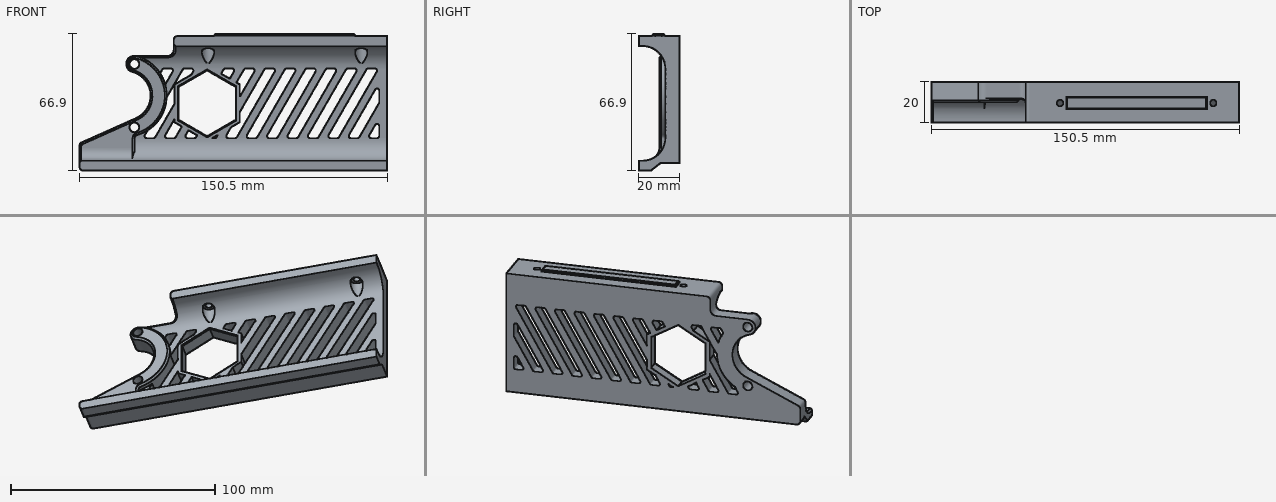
import cadquery as cq
import math

length = 150.5
depth = 20.0
flange_top = 65.9
lip = 5.0
edge_round = 2.0
edge_chamfer = 1.0
boss_bury = 1.5
pick_reach = 0.2

cavity_radius = 11.0
cavity_centre_y = 2.0
web_face_y = cavity_centre_y + cavity_radius
lower_arc_z = lip + cavity_radius
upper_arc_z = flange_top - lip - cavity_radius

foot_depth = 5.9
back_depth = 10.7
back_bottom = 3.8

cradle_x = 22.7
cradle_z = 36.7
cradle_inner = 12.0
cradle_outer = 20.0
cradle_mid = (cradle_inner + cradle_outer) / 2
cap_radius = (cradle_outer - cradle_inner) / 2
cradle_hole = 4.7
hole_angle = 75
boss_face_y = depth / 2
boss_right = 27.0
boss_corner_round = 2.0
boss_foot_radius = 5.5
tip_z = 13.4
flange_left = 46.0
step_round = 3.0

hex_x = 62.5
hex_z = flange_top / 2
hex_flats = 27.8
hex_wall = 2.1
hex_chamfer = 0.5

slot_angle = 60
slot_width = 5.5
slot_count = 13
slot_first = 26.8
slot_last = 146.6
slot_pitch = (slot_last - slot_first) / (slot_count - 1)
slot_round = 1.0
slot_limit_x = length - 3.9

key_x = 100.4
key_y = 9.6
key_length = 69.0
key_width = 6.2
key_height = 1.0
key_chamfer = 0.6
screw_spacing = 75.0
screw_hole = 3.2
screw_head = 6.0
screw_head_top = 61.0


def cradle_point(radius, angle):
    """Point in the XZ plane on a circle round the cradle centre."""
    a = math.radians(angle)
    return (cradle_x + radius * math.cos(a), cradle_z + radius * math.sin(a))


def extrude_y(sketch):
    """Extrude an XZ outline over the full depth."""
    return sketch.extrude(-depth)


def section_point(radius, angle, centre_y, centre_z):
    """Point on a circle in the YZ plane."""
    a = math.radians(angle)
    return (centre_y + radius * math.cos(a), centre_z + radius * math.sin(a))


hole_points = [cradle_point(cradle_mid, hole_angle), cradle_point(cradle_mid, -hole_angle)]
cap_x, cap_z = hole_points[0]
cap_top = cap_z + cap_radius

tip_distance = math.hypot(cradle_x, cradle_z - tip_z)
tip_direction = math.degrees(math.atan2(tip_z - cradle_z, -cradle_x))
tangent_angle = tip_direction + math.degrees(math.acos(cradle_inner / tip_distance))


def select_corner(x, z):
    """Selector for the edge that runs along Y through a corner of an outline."""
    return cq.selectors.BoxSelector(
        (x - pick_reach, 0, z - pick_reach), (x + pick_reach, depth, z + pick_reach)
    )


def trace_arm(outline):
    """Continue an outline from the end cap along the inner cradle and the sloped arm to the tip."""
    return (
        outline.threePointArc(cradle_point(cradle_inner, 0), cradle_point(cradle_inner, tangent_angle))
        .lineTo(0, tip_z)
    )


def make_plate():
    """Full-depth plate above the step in the underside."""
    outline = (
        cq.Workplane("XZ")
        .moveTo(0, back_bottom)
        .lineTo(length, back_bottom)
        .lineTo(length, flange_top)
        .lineTo(flange_left, flange_top)
        .lineTo(flange_left, cap_top + step_round)
        .radiusArc((flange_left - step_round, cap_top), step_round)
        .lineTo(cap_x, cap_top)
        .threePointArc((cap_x - cap_radius, cap_z), cradle_point(cradle_inner, hole_angle))
    )
    plate = extrude_y(trace_arm(outline).close())
    for x, z in [(flange_left, flange_top), (0, tip_z), (0, back_bottom)]:
        plate = plate.edges(select_corner(x, z)).fillet(edge_round)
    return plate


def make_foot():
    """Lower flange, sloped at the back, reaching up past the rounded corner of the plate."""
    height = back_bottom + edge_round
    slope = (back_depth - foot_depth) / back_bottom
    return (
        cq.Workplane("YZ")
        .polyline([(0, 0), (foot_depth, 0), (foot_depth + slope * height, height), (0, height)])
        .close()
        .extrude(length)
        .edges(select_corner(0, 0))
        .edges("|Y")
        .fillet(edge_round)
    )


def make_cavity():
    """C-shaped space between the flanges."""
    return (
        cq.Workplane("YZ")
        .moveTo(0, lip)
        .lineTo(cavity_centre_y, lip)
        .threePointArc(
            section_point(cavity_radius, -45, cavity_centre_y, lower_arc_z), (web_face_y, lower_arc_z)
        )
        .lineTo(web_face_y, upper_arc_z)
        .threePointArc(
            section_point(cavity_radius, 45, cavity_centre_y, upper_arc_z),
            (cavity_centre_y, flange_top - lip),
        )
        .lineTo(0, flange_top - lip)
        .close()
        .extrude(length)
    )


def make_body():
    body = make_plate().union(make_foot()).cut(make_cavity())
    lower_arc = cq.selectors.BoxSelector((-pick_reach, 0, lip), (pick_reach, web_face_y, lower_arc_z))
    return body.edges("%CIRCLE").edges(lower_arc).chamfer(edge_chamfer)


def make_boss():
    """Raised face of the cradle and arm, blended into the lower cavity arc."""
    foot_y = boss_face_y - boss_foot_radius
    foot_angle = -math.degrees(math.acos((foot_y - cavity_centre_y) / (cavity_radius - boss_foot_radius)))
    foot_z = lower_arc_z + (foot_y - cavity_centre_y) * math.tan(math.radians(foot_angle))
    buried = cavity_radius + boss_bury
    section = (
        cq.Workplane("YZ")
        .moveTo(boss_face_y, flange_top)
        .lineTo(boss_face_y, foot_z)
        .threePointArc(
            section_point(boss_foot_radius, foot_angle / 2, foot_y, foot_z),
            section_point(boss_foot_radius, foot_angle, foot_y, foot_z),
        )
        .threePointArc(
            section_point(cavity_radius, (foot_angle - 90) / 2, cavity_centre_y, lower_arc_z),
            (cavity_centre_y, lip),
        )
        .lineTo(cavity_centre_y, lip - boss_bury)
        .threePointArc(
            section_point(buried, -45, cavity_centre_y, lower_arc_z),
            (cavity_centre_y + buried, lower_arc_z),
        )
        .lineTo(cavity_centre_y + buried, flange_top)
        .close()
        .extrude(length)
    )
    corner_angle = -math.degrees(math.acos((boss_right - cradle_x) / cradle_outer))
    corner = cradle_point(cradle_outer, corner_angle)
    outline = (
        cq.Workplane("XZ")
        .moveTo(0, 0)
        .lineTo(boss_right, 0)
        .lineTo(*corner)
        .threePointArc(cradle_point(cradle_outer, 0), cradle_point(cradle_outer, hole_angle))
        .threePointArc((cap_x - cap_radius, cap_z), cradle_point(cradle_inner, hole_angle))
    )
    prism = extrude_y(trace_arm(outline).close())
    prism = prism.edges(select_corner(0, tip_z)).fillet(edge_round)
    prism = prism.edges(select_corner(*corner)).fillet(boss_corner_round)
    boss = section.intersect(prism)
    face_edges = cq.selectors.BoxSelector(
        (-pick_reach, boss_face_y - pick_reach, 0), (length, boss_face_y + pick_reach, flange_top), True
    )
    return boss.edges(face_edges).chamfer(edge_chamfer)


def make_key():
    """Locating key on the top flange, with a bevelled top edge."""
    return (
        cq.Workplane("XY", origin=(key_x, key_y, flange_top))
        .rect(key_length, key_width)
        .extrude(key_height)
        .faces(">Z")
        .chamfer(key_chamfer)
    )


def hexagon_outline(flats, y):
    """Hexagon with a corner at the top, on a plane facing the front."""
    plane = cq.Plane(origin=(hex_x, y, hex_z), xDir=(0, 0, 1), normal=(0, -1, 0))
    return cq.Workplane(plane).polygon(6, 2 * flats / math.sqrt(3))


def hexagon(flats):
    return hexagon_outline(flats, depth).extrude(depth)


def hexagon_chamfer():
    """Bevelled rim where the window opens into the cavity."""
    return hexagon_outline(hex_flats + 2 * hex_chamfer, web_face_y).extrude(-hex_chamfer, taper=45)


def make_slots():
    """Slanted slots through the web, kept clear of the cradle and of the wall round the window."""
    height = upper_arc_z - lower_arc_z
    lean = height / math.tan(math.radians(slot_angle))
    keep_out = hexagon(hex_flats + 2 * hex_wall).union(
        extrude_y(cq.Workplane("XZ", origin=(cradle_x, 0, cradle_z)).circle(cradle_outer))
    )
    window_left = boss_right + boss_corner_round
    window = cq.Workplane("XY", origin=(window_left, 0, 0)).box(
        slot_limit_x - window_left, depth, flange_top, centered=False
    )
    slots = cq.Workplane("XY")
    for number in range(slot_count):
        right = slot_first + number * slot_pitch
        left = right - slot_width
        outline = cq.Workplane("XZ").polyline([
            (left, lower_arc_z),
            (right, lower_arc_z),
            (right + lean, upper_arc_z),
            (left + lean, upper_arc_z),
        ]).close()
        slot = extrude_y(outline).intersect(window).edges("|Y").fillet(slot_round)
        slots = slots.add(slot.cut(keep_out))
    return slots


def make_screw_holes():
    """Vertical holes through the top flange, with head recesses open to the cavity."""
    places = [(key_x - screw_spacing / 2, key_y), (key_x + screw_spacing / 2, key_y)]
    base = cq.Workplane("XY", origin=(0, 0, upper_arc_z)).pushPoints(places)
    shank = base.circle(screw_hole / 2).extrude(flange_top - upper_arc_z)
    head = base.circle(screw_head / 2).extrude(screw_head_top - upper_arc_z)
    return shank.union(head)


def make_cradle_holes():
    return extrude_y(cq.Workplane("XZ").pushPoints(hole_points).circle(cradle_hole / 2))


result = make_body()
for slot in make_slots().vals():
    result = result.cut(cq.Workplane(slot))
result = result.union(make_boss()).union(make_key())
for opening in (hexagon(hex_flats), hexagon_chamfer(), make_cradle_holes(), make_screw_holes()):
    result = result.cut(opening)